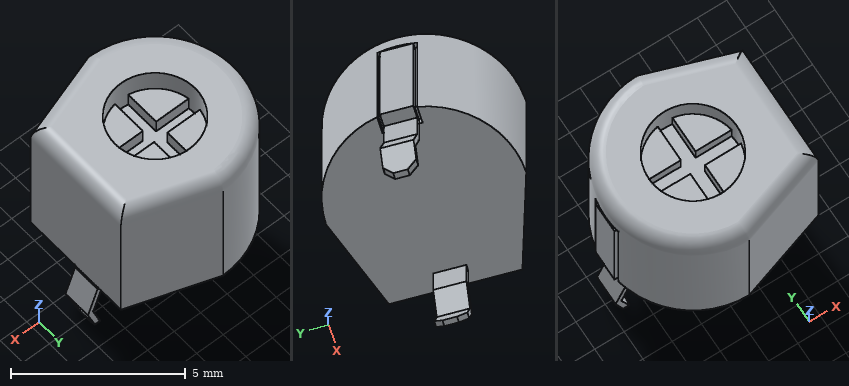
import cadquery as cq
import math

total_height = 7.8
body_width = 6.0
body_radius = body_width / 2
body_height = 4.8
flat_width = 4.0
top_fillet = 0.5

well_diameter = 3.0
rotor_depth = 0.8
cross_width = 0.5
cross_depth = 0.5

pin_length = total_height - body_height
pin_width = 1.0
pin_thickness = 0.2
pin_outer_x = 2.6
pin_section = pin_length / 3
bend_angle = 20.0
bend_offset = pin_section * math.tan(math.radians(bend_angle))
tip_chamfer = 0.28

plate_height = 3.81
recess_height = 3.9
recess_width = 1.2
exit_height = 0.3
pin_inner_x = pin_outer_x - pin_thickness
recess_floor_x = body_radius - pin_thickness


def make_housing():
    return (
        cq.Workplane("XY")
        .moveTo(0, body_radius)
        .threePointArc((-body_radius, 0), (0, -body_radius))
        .lineTo(body_radius, -flat_width / 2)
        .lineTo(body_radius, flat_width / 2)
        .close()
        .extrude(body_height)
        .faces(">Z")
        .edges()
        .fillet(top_fillet)
    )


def cut_rotor_well(body):
    rotor_top = body_height - rotor_depth
    well = cq.Workplane("XY").workplane(offset=rotor_top).circle(well_diameter / 2).extrude(rotor_depth)
    slot_plane = cq.Workplane("XY").workplane(offset=rotor_top - cross_depth)
    cross = slot_plane.rect(well_diameter, cross_width).extrude(cross_depth)
    cross = cross.union(slot_plane.rect(cross_width, well_diameter).extrude(cross_depth))
    rotor = slot_plane.circle(well_diameter / 2).extrude(cross_depth)
    return body.cut(well).cut(cross.intersect(rotor))


def side_block(outer_x, inner_x, width, height):
    """Block on the -X side, centred on Y and rising from the underside."""
    return cq.Workplane("XY").box(
        outer_x - inner_x, width, height, centered=(False, True, False)
    ).translate((-outer_x, 0, 0))


def make_pin():
    """Terminal at -X, kinked outwards halfway and chamfered at its tip."""
    profile = [
        (-pin_outer_x, 0),
        (-pin_outer_x, -pin_section),
        (-pin_outer_x - bend_offset, -2 * pin_section),
        (-pin_outer_x, -pin_length),
        (-pin_inner_x, -pin_length),
        (-pin_inner_x - bend_offset, -2 * pin_section),
        (-pin_inner_x, -pin_section),
        (-pin_inner_x, 0),
    ]
    pin = cq.Workplane("XZ").polyline(profile).close().extrude(pin_width / 2, both=True)
    half_width = pin_width / 2
    tip_half_width = half_width - tip_chamfer
    front_outline = (
        cq.Workplane("YZ")
        .moveTo(-half_width, 0)
        .lineTo(-half_width, -pin_length + tip_chamfer)
        .lineTo(-tip_half_width, -pin_length)
        .lineTo(tip_half_width, -pin_length)
        .lineTo(half_width, -pin_length + tip_chamfer)
        .lineTo(half_width, 0)
        .close()
        .extrude(-body_width)
    )
    return pin.intersect(front_outline)


body = cut_rotor_well(make_housing())

body = body.cut(side_block(body_radius, recess_floor_x, recess_width, recess_height))
body = body.cut(side_block(body_radius, pin_inner_x, recess_width, exit_height))

plate = side_block(body_radius, recess_floor_x, pin_width, plate_height)
foot = side_block(body_radius, pin_inner_x, pin_width, pin_thickness)

pin = make_pin()
result = body.union(plate).union(foot).union(pin).union(pin.mirror("YZ"))